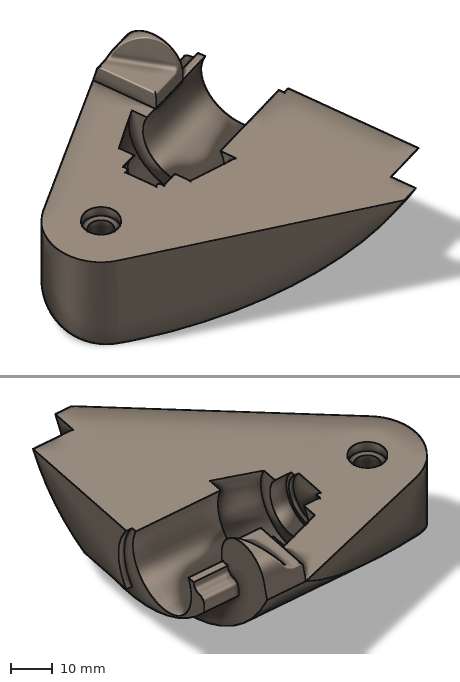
import cadquery as cq
import math


left_x = -28.3
width = 84.75
right_x = left_x + width
depth = 27.55
belly_x = left_x + width / 2
belly_radius = ((width / 2) ** 2 + depth ** 2) / (2 * depth)
belly_z = belly_radius - depth

nose_radius = 14.2
shoulder_y = 50.85
left_corner_y = 39.3
right_corner_y = 45.9

spigot_step = 6.35
spigot_end_y = 61
spigot_left_x = -16.9
spigot_edge_round = 1.95
spigot_edge_cove = 2.3
lip_end_y = 62.7
lip_left_x = 12.0
lip_bottom_z = -18.4

pocket_axis_z = -5.1
bore_half_width = 10.5
cone_rear_half_width = 14.8
cone_front_half_width = 10.2
neck_half_width = 5.8
tip_half_width = 4.3
cone_rear_y = 35.8
cone_front_y = 23.2
neck_front_y = 18.4
tip_front_y = 17.1

hole_diameter = 6.5
counterbore_diameter = 9.6
counterbore_depth = 2.9

tab_overhang = 0.25
tab_right_x = tab_overhang - bore_half_width
tab_top_z = 11.1
tab_peak_x = -18.7
tab_left_shoulder = (-27.0, 4.9)
tab_right_shoulder_z = 3.8
thumb_floor_z = 4.9
thumb_start = (-26.3, 41.5)
thumb_angle = 21
thumb_cove_radius = 2.55
thumb_wall_angle = 65
tab_edge_round = 0.8


def along_y(profile, start_y, end_y):
    """Extrude an X/Z sketch from start_y to end_y."""
    return profile.extrude(-(end_y - start_y)).translate((0, start_y, 0))


def belly_section(radius):
    """Circular segment lying between the deck and the belly arc."""
    half = math.sqrt(radius ** 2 - belly_z ** 2)
    return (
        cq.Workplane("XZ")
        .moveTo(belly_x - half, 0)
        .threePointArc((belly_x, belly_z - radius), (belly_x + half, 0))
        .close()
    )


def nose_tangent(corner, side):
    """Point where the line from a corner touches the nose circle."""
    distance = math.hypot(*corner)
    angle = math.atan2(corner[1], corner[0]) + side * math.acos(nose_radius / distance)
    return (nose_radius * math.cos(angle), nose_radius * math.sin(angle))


def make_body():
    left_corner = (left_x, left_corner_y)
    right_corner = (right_x, right_corner_y)
    plan = (
        cq.Workplane("XY")
        .moveTo(left_x, shoulder_y)
        .lineTo(*left_corner)
        .lineTo(*nose_tangent(left_corner, 1))
        .threePointArc((0, -nose_radius), nose_tangent(right_corner, -1))
        .lineTo(*right_corner)
        .lineTo(right_x, shoulder_y)
        .close()
        .extrude(-depth)
    )
    return plan.intersect(along_y(belly_section(belly_radius), -nose_radius, shoulder_y))


def make_spigot():
    radius = belly_radius - spigot_step
    round_x = spigot_left_x + spigot_edge_round
    cove_x = round_x + spigot_edge_cove
    diagonal = math.sqrt(0.5)
    limit = (
        cq.Workplane("XZ")
        .moveTo(right_x, 0)
        .lineTo(cove_x, 0)
        .threePointArc(
            (round_x + spigot_edge_cove * diagonal, -spigot_edge_cove * diagonal),
            (round_x, -spigot_edge_cove),
        )
        .threePointArc(
            (round_x - spigot_edge_round * diagonal,
             -spigot_edge_cove - spigot_edge_round * (1 - diagonal)),
            (spigot_left_x, -spigot_edge_cove - spigot_edge_round),
        )
        .lineTo(spigot_left_x, -depth)
        .lineTo(right_x, -depth)
        .close()
    )
    spigot = along_y(belly_section(radius), shoulder_y, spigot_end_y)
    spigot = spigot.intersect(along_y(limit, shoulder_y, spigot_end_y))
    lip_middle_z = lip_bottom_z / 2
    lip_limit = (
        cq.Workplane("XZ")
        .moveTo(lip_left_x, 0)
        .threePointArc((math.hypot(lip_left_x, lip_middle_z), lip_middle_z), (lip_left_x, lip_bottom_z))
        .lineTo(right_x, lip_bottom_z)
        .lineTo(right_x, 0)
        .close()
    )
    lip = along_y(belly_section(radius), spigot_end_y, lip_end_y)
    return spigot.union(lip.intersect(along_y(lip_limit, spigot_end_y, lip_end_y)))


def make_pocket():
    def radius(half_width):
        return math.hypot(half_width, pocket_axis_z)

    profile = [
        (0, lip_end_y),
        (radius(lip_left_x), lip_end_y),
        (radius(lip_left_x), spigot_end_y),
        (radius(bore_half_width), spigot_end_y),
        (radius(bore_half_width), cone_rear_y),
        (radius(cone_rear_half_width), cone_rear_y),
        (radius(cone_front_half_width), cone_front_y),
        (radius(neck_half_width), cone_front_y),
        (radius(neck_half_width), neck_front_y),
        (radius(tip_half_width), neck_front_y),
        (radius(tip_half_width), tip_front_y),
        (0, tip_front_y),
    ]
    turned = cq.Workplane("XY").polyline(profile).close().revolve(360, (0, 0, 0), (0, 1, 0))
    return turned.translate((0, 0, pocket_axis_z))


def make_thumb_cutter():
    """Flat floor, cove and steep rear wall, running obliquely across the tab."""
    angle = math.radians(thumb_wall_angle)
    reach = 2 * (right_x - left_x)
    cove_y = thumb_cove_radius * math.sin(angle)
    cove_z = thumb_cove_radius * (1 - math.cos(angle))
    wall_rise = tab_top_z
    profile = (
        cq.Workplane("YZ")
        .moveTo(-reach, 0)
        .lineTo(0, 0)
        .threePointArc(
            (thumb_cove_radius * math.sin(angle / 2),
             thumb_cove_radius * (1 - math.cos(angle / 2))),
            (cove_y, cove_z),
        )
        .lineTo(cove_y + wall_rise / math.tan(angle), cove_z + wall_rise)
        .lineTo(-reach, cove_z + wall_rise)
        .close()
    )
    cutter = profile.extrude(reach / 2, both=True)
    cutter = cutter.rotate((0, 0, 0), (0, 0, 1), thumb_angle)
    return cutter.translate((*thumb_start, thumb_floor_z))


def make_tab():
    dome = (
        cq.Workplane("XZ")
        .moveTo(left_x, 0)
        .lineTo(*tab_left_shoulder)
        .threePointArc((tab_peak_x, tab_top_z), (tab_right_x, tab_right_shoulder_z))
        .lineTo(tab_right_x, 0)
        .close()
    )
    tab = along_y(dome, left_corner_y, shoulder_y).cut(make_thumb_cutter())
    margin = 0.1
    above_flanks = cq.selectors.BoxSelector(
        (left_x, left_corner_y - margin, thumb_floor_z - margin),
        (tab_right_x + margin, shoulder_y - margin, tab_top_z),
    )
    angle = math.radians(thumb_angle)
    creases = cq.selectors.ParallelDirSelector(cq.Vector(math.cos(angle), math.sin(angle), 0))
    return tab.edges(above_flanks - creases).fillet(tab_edge_round)


def make_screw_hole():
    hole = cq.Workplane("XY").circle(hole_diameter / 2).extrude(-depth)
    return hole.union(cq.Workplane("XY").circle(counterbore_diameter / 2).extrude(-counterbore_depth))


base = make_body().union(make_spigot()).cut(make_pocket()).cut(make_screw_hole())
result = base.union(make_tab())